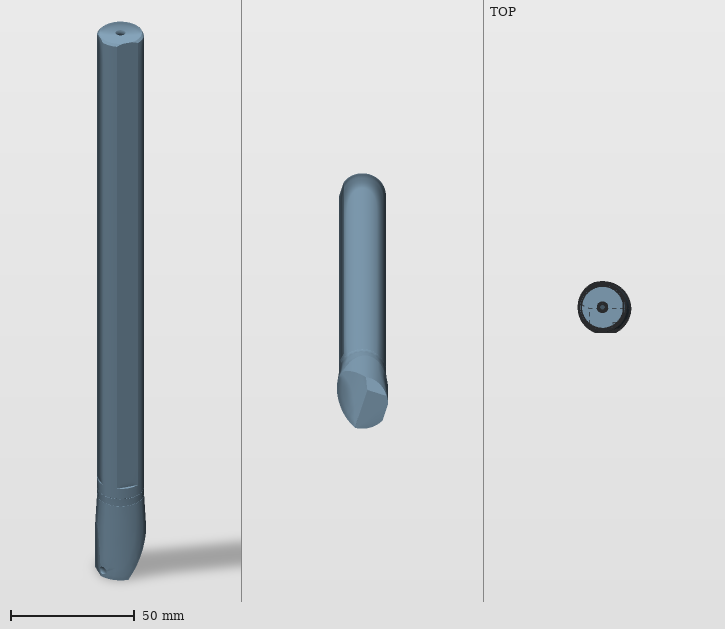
import cadquery as cq
import math

total_length = 253.11
bar_radius = 9.525
joint_height = 37.4
cut_size = 60

shank_side_flat_width = 6.9
shank_side_flat_distance = math.sqrt(bar_radius**2 - (shank_side_flat_width / 2) ** 2)
shank_deep_flat_distance = 8.4
shank_flat_end = 42.3
shank_top_chamfer = 0.9
joint_chamfer = 0.15
centre_mouth_radius = 2.0
centre_pilot_radius = 1.3
centre_cone_angle = 60
centre_pilot_depth = 4.0

cone_start = 34.0
neck_taper = 0.1
nose_radius = 11.37
front_flat_y = -10.18
back_relief_x = -9.76
back_relief_edge_x = -2.4
end_tilt = 1.5
end_low_direction = -17
end_chamfer_angle = 32
end_chamfer_height = 3.1
front_hole_radius = 1.6
front_hole_end_y = -6.0
front_hole_x = 5.7
front_hole_z = 3.0

pocket_nose = (-0.4, 0.4)
pocket_middle = (5.5, 9.4)
pocket_top = (10.3, 20.5)


def shank_flat(distance, turn):
    """Block beyond a flat at this distance from the bar axis, turned from the +X side."""
    block = cq.Workplane("XY").box(
        cut_size, cut_size, total_length, centered=(False, True, False)
    )
    block = block.translate((distance, 0, shank_flat_end))
    return block.rotate((0, 0, 0), (0, 0, 1), turn)


def centre_hole():
    """Centre-drilled hole in the top end: a cone running into a pilot."""
    half_angle = math.radians(centre_cone_angle / 2)
    cone_depth = (centre_mouth_radius - centre_pilot_radius) / math.tan(half_angle)
    profile = (
        cq.Workplane("XZ")
        .moveTo(0, total_length)
        .lineTo(centre_mouth_radius, total_length)
        .lineTo(centre_pilot_radius, total_length - cone_depth)
        .lineTo(centre_pilot_radius, total_length - centre_pilot_depth)
        .lineTo(0, total_length - centre_pilot_depth)
        .close()
    )
    return profile.revolve(360, (0, 0, 0), (0, 1, 0))


def make_shank():
    body = cq.Workplane("XY").workplane(offset=joint_height)
    body = body.circle(bar_radius).extrude(total_length - joint_height)
    body = body.faces(">Z").chamfer(shank_top_chamfer)
    body = body.faces("<Z").chamfer(joint_chamfer)
    body = body.cut(shank_flat(shank_deep_flat_distance, 0))
    for turn in (-90, 90):
        body = body.cut(shank_flat(shank_side_flat_distance, turn))
    return body.cut(centre_hole())


def head_blank():
    """Turned blank: a short neck above a cone that widens toward the nose."""
    neck_radius = bar_radius - neck_taper
    profile = (
        cq.Workplane("XZ")
        .lineTo(nose_radius, 0)
        .lineTo(bar_radius, cone_start)
        .lineTo(neck_radius, cone_start)
        .lineTo(bar_radius, joint_height)
        .lineTo(0, joint_height)
        .close()
    )
    return profile.revolve(360, (0, 0, 0), (0, 1, 0))


def back_relief():
    """Ground around an upright cylinder that bounds the -X side of the head."""
    across = back_relief_edge_x - back_relief_x
    radius = (front_flat_y**2 + across**2) / (2 * across)
    centre_x = back_relief_x + radius
    stock = cq.Workplane("XY").box(cut_size, 2 * cut_size, cone_start, centered=(False, True, False))
    stock = stock.translate((centre_x - cut_size, 0, 0))
    kept = cq.Workplane("XY").center(centre_x, 0).circle(radius).extrude(cone_start)
    return stock.cut(kept)


def front_flat():
    """Everything in front of the flat on the -Y side."""
    block = cq.Workplane("XY").box(cut_size, cut_size, joint_height, centered=(True, False, False))
    return block.translate((0, front_flat_y - cut_size, 0))


def chip_pocket():
    """Scoop across the +Y side, running out along a shallow arc."""
    profile = (
        cq.Workplane("YZ")
        .moveTo(*pocket_nose)
        .threePointArc(pocket_middle, pocket_top)
        .lineTo(cut_size, pocket_top[1])
        .lineTo(cut_size, -cut_size)
        .lineTo(pocket_nose[0], -cut_size)
        .close()
    )
    return profile.extrude(cut_size, both=True)


def front_hole():
    """Blind hole along Y, drilled from the front near the nose."""
    hole = cq.Workplane("XZ", origin=(0, front_hole_end_y, 0))
    return hole.center(front_hole_x, front_hole_z).circle(front_hole_radius).extrude(cut_size)


def end_face():
    """Space below the end face, which sinks gently toward a point on the rim of the nose."""
    block = cq.Workplane("XY").box(2 * cut_size, 2 * cut_size, cut_size, centered=(True, True, False))
    block = block.translate((nose_radius, 0, -cut_size))
    block = block.rotate((nose_radius, 0, 0), (nose_radius, 1, 0), end_tilt)
    return block.rotate((0, 0, 0), (0, 0, 1), end_low_direction)


def end_chamfer():
    """Bevel between the end face and the -X side."""
    slope = math.tan(math.radians(end_chamfer_angle))
    profile = (
        cq.Workplane("XZ")
        .moveTo(back_relief_x, end_chamfer_height)
        .lineTo(back_relief_x, 0)
        .lineTo(back_relief_x + end_chamfer_height / slope, 0)
        .close()
    )
    return profile.extrude(cut_size, both=True)


def make_head():
    body = head_blank()
    cuts = (back_relief(), front_flat(), chip_pocket(), front_hole(), end_face(), end_chamfer())
    for removed in cuts:
        body = body.cut(removed)
    return body


shank = make_shank()
head = make_head()
result = cq.Compound.makeCompound([shank.val(), head.val()])